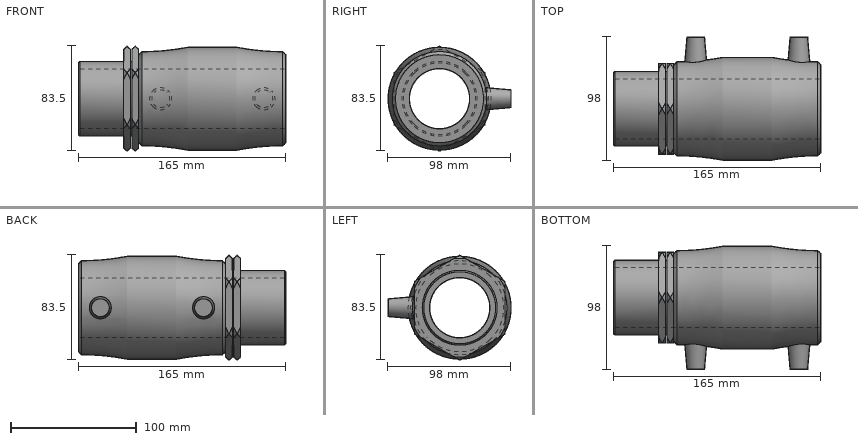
import cadquery as cq
import math

total_length = 165.0
spigot_length = 36.0
nut_thickness = 5.5
nut_gap = 1.0
nut_count = 2
nut_pitch = nut_thickness + nut_gap
body_start = spigot_length + (nut_count - 1) * nut_pitch + nut_thickness
body_center = (body_start + total_length) / 2
band_length = 39.0

spigot_diameter = 59.61
spigot_chamfer = 1.2
bore_diameter = 47.69

band_diameter = 82.0
body_end_diameter = 75.0
body_chamfer = 2.5

hex_sides = 6
hex_corner_diameter = 83.46
corner_bevel_depth = 2.5

post_offset = 41.0
post_tip_height = 57.0
post_tip_diameter = 14.2
post_draft_angle = 5.0
post_root_height = 27.0


def revolve_about_x(profile):
    """Close a half profile along the X axis and turn it once around."""
    return profile.close().revolve(360, (0, 0, 0), (1, 0, 0))


def make_spigot():
    """Plain pipe end, continued under the collars up to the body."""
    radius = spigot_diameter / 2
    profile = (
        cq.Workplane("XY")
        .lineTo(0, radius - spigot_chamfer)
        .lineTo(spigot_chamfer, radius)
        .lineTo(body_start + body_chamfer, radius)
        .lineTo(body_start + body_chamfer, 0)
    )
    return revolve_about_x(profile)


def make_body():
    """Barrel with a cylindrical middle band and a flared arc on each side of it."""
    band_radius = band_diameter / 2
    end_radius = body_end_diameter / 2
    band_left = body_center - band_length / 2
    band_right = body_center + band_length / 2
    rim_left = body_start + body_chamfer
    rim_right = total_length - body_chamfer

    flare_length = band_left - rim_left
    flare_rise = band_radius - end_radius
    arc_radius = (flare_length**2 + flare_rise**2) / (2 * flare_rise)
    half_length = flare_length / 2
    half_height = end_radius + arc_radius - math.sqrt(arc_radius**2 - half_length**2)

    profile = (
        cq.Workplane("XY")
        .moveTo(body_start, 0)
        .lineTo(body_start, end_radius - body_chamfer)
        .lineTo(rim_left, end_radius)
        .threePointArc((rim_left + half_length, half_height), (band_left, band_radius))
        .lineTo(band_right, band_radius)
        .threePointArc((rim_right - half_length, half_height), (rim_right, end_radius))
        .lineTo(total_length, end_radius - body_chamfer)
        .lineTo(total_length, 0)
    )
    return revolve_about_x(profile)


def make_nut(start):
    """Hexagonal collar with corners along Z, bevelled conically from both faces."""
    corner_radius = hex_corner_diameter / 2
    face_radius = corner_radius - corner_bevel_depth
    end = start + nut_thickness
    hexagon = (
        cq.Workplane("YZ", origin=(start, 0, 0))
        .polygon(hex_sides, hex_corner_diameter)
        .extrude(nut_thickness)
        .rotate((0, 0, 0), (1, 0, 0), 180 / hex_sides)
    )
    double_cone = revolve_about_x(
        cq.Workplane("XY")
        .moveTo(start, 0)
        .lineTo(start, face_radius)
        .lineTo(start + nut_thickness / 2, corner_radius)
        .lineTo(end, face_radius)
        .lineTo(end, 0)
    )
    return hexagon.intersect(double_cone)


def make_post(center_x):
    """Round post that widens from its tip down into the body wall."""
    tip_radius = post_tip_diameter / 2
    height = post_tip_height - post_root_height
    root_radius = tip_radius + height * math.tan(math.radians(post_draft_angle))
    cone = cq.Solid.makeCone(
        root_radius,
        tip_radius,
        height,
        pnt=cq.Vector(center_x, post_root_height, 0),
        dir=cq.Vector(0, 1, 0),
    )
    return cq.Workplane(obj=cone)


def make_bore():
    """Straight hole through the whole length."""
    return cq.Workplane("YZ").circle(bore_diameter / 2).extrude(total_length)


result = make_spigot().union(make_body())
for nut_index in range(nut_count):
    result = result.union(make_nut(spigot_length + nut_index * nut_pitch))
for side in (-1, 1):
    result = result.union(make_post(body_center + side * post_offset))
result = result.cut(make_bore())